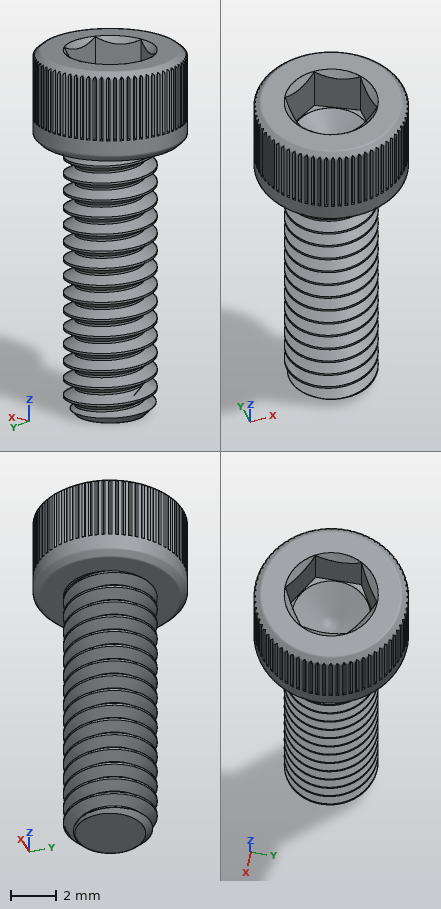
import cadquery as cq
import math

INCH = 25.4
major_diameter = 0.164 * INCH
pitch = INCH / 32
shank_length = 0.5 * INCH
head_diameter = 0.270 * INCH
head_height = major_diameter
total_length = shank_length + head_height

flank_angle = math.radians(30)
thread_depth = 0.75 * pitch / 2 / math.tan(flank_angle)
flank_height = thread_depth * math.tan(flank_angle)
thread_flat = pitch / 8
major_radius = major_diameter / 2
root_radius = major_radius - thread_depth
root_height_at_x = 0.38 * pitch

top_chamfer_width = 0.30
top_chamfer_height = 0.25
bottom_chamfer = 0.29
edge_round = 0.14

socket_across_flats = 9 / 64 * INCH
socket_depth = head_height / 2
socket_mouth_diameter = major_diameter
drill_diameter = 3.5
drill_point_angle = math.radians(120)

groove_count = 72
groove_width = 0.15
groove_depth = groove_width / 2
plain_band_top = shank_length + 1.04


def make_shank_envelope():
    """Outline of the shank: a cylinder with a 45 degree chamfer at the tip."""
    envelope = cq.Workplane("XY").circle(major_radius).extrude(shank_length)
    return envelope.faces("<Z").chamfer(thread_depth)


def make_threaded_rod():
    """Rod, longer than the shank, with a right-hand thread that begins and ends inside it."""
    crest_overlap = 0.03
    root_half = thread_flat / 2
    outer_half = root_half + flank_height + crest_overlap * math.tan(flank_angle)
    outer_radius = major_radius + crest_overlap
    rod_margin = 3 * pitch
    rod_length = shank_length + 2 * rod_margin
    rod = cq.Workplane("XY").workplane(offset=-rod_margin).circle(major_radius).extrude(rod_length)
    helix = cq.Wire.makeHelix(pitch, shank_length + rod_margin, root_radius)
    groove = (
        cq.Workplane("XZ")
        .moveTo(root_radius, root_half)
        .lineTo(outer_radius, outer_half)
        .lineTo(outer_radius, -outer_half)
        .lineTo(root_radius, -root_half)
        .close()
        .sweep(cq.Workplane(obj=helix), isFrenet=True)
        .translate((0, 0, root_height_at_x - 2 * pitch))
    )
    return rod.cut(groove, clean=False)


def make_collar():
    """Conical run-out that closes the thread groove under the head."""
    return (
        cq.Workplane("XZ")
        .moveTo(0, shank_length)
        .lineTo(major_radius, shank_length)
        .lineTo(root_radius, shank_length - flank_height)
        .lineTo(0, shank_length - flank_height)
        .close()
        .revolve(360, (0, 0), (0, 1))
    )


def make_head_blank():
    """Head without knurl or socket."""
    radius = head_diameter / 2
    blank = (
        cq.Workplane("XZ")
        .moveTo(0, shank_length)
        .lineTo(radius - bottom_chamfer, shank_length)
        .lineTo(radius, shank_length + bottom_chamfer)
        .lineTo(radius, total_length - top_chamfer_height)
        .lineTo(radius - top_chamfer_width, total_length)
        .lineTo(0, total_length)
        .close()
        .revolve(360, (0, 0), (0, 1))
    )
    return blank.edges("%CIRCLE").fillet(edge_round)


def make_knurl_grooves():
    """V grooves around the head, each with a lower end that slopes out at 45 degrees."""
    overlap = groove_depth / 4
    outer_radius = head_diameter / 2 + overlap
    valley_radius = head_diameter / 2 - groove_depth
    cut_depth = outer_radius - valley_radius
    half_width = cut_depth * groove_width / 2 / groove_depth
    lower_end = plain_band_top - overlap
    prism = (
        cq.Workplane("XY")
        .workplane(offset=lower_end)
        .moveTo(valley_radius, 0)
        .lineTo(outer_radius, half_width)
        .lineTo(outer_radius, -half_width)
        .close()
        .extrude(total_length - lower_end)
    )
    sloped_end = (
        cq.Workplane("XZ")
        .moveTo(valley_radius, lower_end)
        .lineTo(outer_radius, lower_end)
        .lineTo(valley_radius, lower_end + cut_depth)
        .close()
        .extrude(half_width, both=True)
    )
    groove = prism.cut(sloped_end).val()
    axis_start = cq.Vector(0, 0, 0)
    axis_end = cq.Vector(0, 0, 1)
    step = 360 / groove_count
    grooves = [groove.rotate(axis_start, axis_end, step * index) for index in range(groove_count)]
    return cq.Workplane(obj=cq.Compound.makeCompound(grooves))


def make_socket():
    """Hexagon socket with a countersunk mouth and a conical drill point."""
    corner_diameter = socket_across_flats / math.cos(math.pi / 6)
    floor_height = total_length - socket_depth
    mouth_radius = socket_mouth_diameter / 2
    drill_radius = drill_diameter / 2
    point_depth = drill_radius / math.tan(drill_point_angle / 2)
    hexagon = (
        cq.Workplane("XY")
        .workplane(offset=floor_height)
        .polygon(6, corner_diameter)
        .extrude(socket_depth)
        .rotate((0, 0, 0), (0, 0, 1), 90)
    )
    mouth_tip = cq.Vector(0, 0, total_length - mouth_radius)
    mouth = cq.Solid.makeCone(0, mouth_radius, mouth_radius, pnt=mouth_tip)
    drill_tip = cq.Vector(0, 0, floor_height - point_depth)
    point = cq.Solid.makeCone(0, drill_radius, point_depth, pnt=drill_tip)
    return hexagon.union(cq.Workplane(obj=mouth)).union(cq.Workplane(obj=point))


threaded_shank = make_threaded_rod().intersect(make_shank_envelope(), clean=False)
head = make_head_blank().cut(make_socket()).cut(make_knurl_grooves(), clean=False)
result = head.union(make_collar()).union(threaded_shank, clean=False)